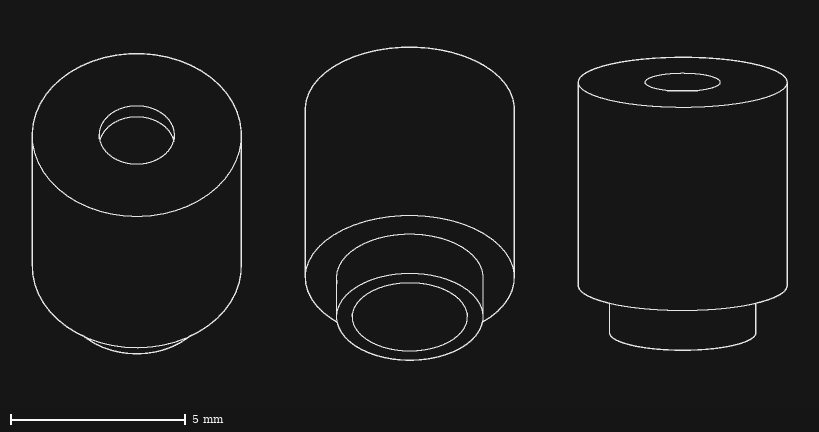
import cadquery as cq

total_height = 7.4
body_diameter = 6.0
body_height = 6.0
spigot_diameter = 4.2
top_hole_diameter = 2.15
bore_diameter = 3.3
top_wall = 0.5

spigot_height = total_height - body_height
bore_depth = total_height - top_wall


def cylinder(diameter, height):
    """Upright cylinder standing on the XY plane, centred on the Z axis."""
    return cq.Workplane("XY").circle(diameter / 2).extrude(height)


spigot = cylinder(spigot_diameter, spigot_height)
body = cylinder(body_diameter, body_height).translate((0, 0, spigot_height))

bore = cylinder(bore_diameter, bore_depth)
top_hole = cylinder(top_hole_diameter, total_height)

result = spigot.union(body).cut(bore).cut(top_hole)